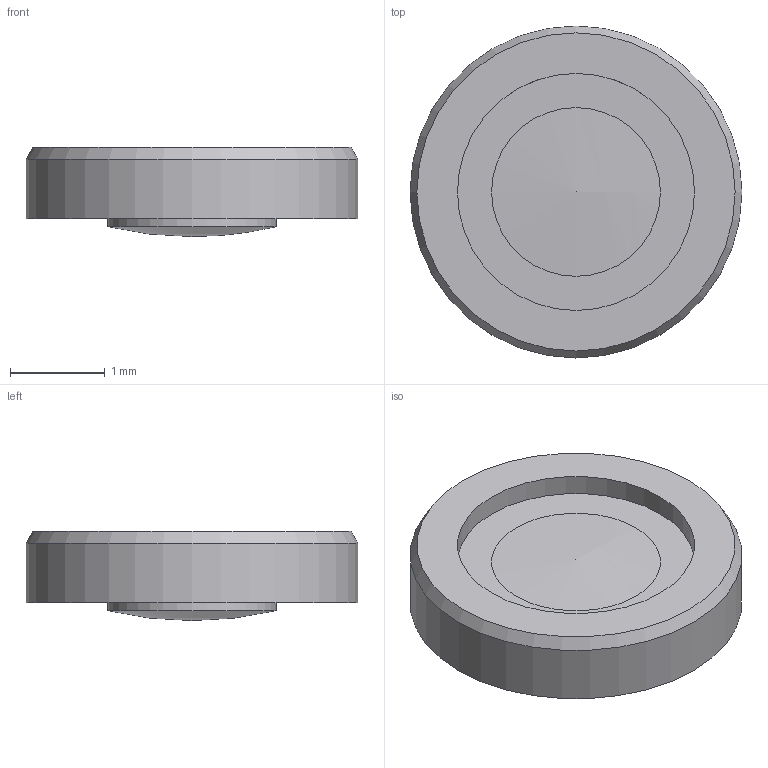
import cadquery as cq
import math

ring_diameter = 3.5
ring_height = 0.75
chamfer_height = 0.125
chamfer_angle = 30.0
chamfer_width = chamfer_height * math.tan(math.radians(chamfer_angle))

recess_diameter = 2.5
recess_depth = 0.22

lens_diameter = 1.78
overall_height = 0.94
lower_dome_height = 0.105
upper_dome_height = 0.03

ring_radius = ring_diameter / 2
recess_radius = recess_diameter / 2
lens_radius = lens_diameter / 2
recess_floor_z = ring_height - recess_depth
lens_bottom_z = ring_height - overall_height
lens_edge_z = lens_bottom_z + lower_dome_height


def revolve_about_z(profile):
    """Turn a half profile in the XZ plane a full revolution about the Z axis."""
    return profile.revolve(360, (0, 0, 0), (0, 1, 0))


def make_ring():
    """Revolve the mount: a disc with a chamfered rim and a round recess on top."""
    profile = (
        cq.Workplane("XZ")
        .moveTo(0, 0)
        .lineTo(ring_radius, 0)
        .lineTo(ring_radius, ring_height - chamfer_height)
        .lineTo(ring_radius - chamfer_width, ring_height)
        .lineTo(recess_radius, ring_height)
        .lineTo(recess_radius, recess_floor_z)
        .lineTo(0, recess_floor_z)
        .close()
    )
    return revolve_about_z(profile)


def dome_mid_point(dome_height, edge_z, direction):
    """Point halfway along a dome's arc from the lens edge to the axis; direction is +1 up, -1 down."""
    sphere_radius = (lens_radius**2 + dome_height**2) / (2 * dome_height)
    half_angle = math.asin(lens_radius / sphere_radius) / 2
    radial = sphere_radius * math.sin(half_angle)
    rise = dome_height - sphere_radius * (1 - math.cos(half_angle))
    return (radial, edge_z + direction * rise)


def make_lens():
    """Revolve the lens: domed down below the mount and slightly up from the recess floor."""
    profile = (
        cq.Workplane("XZ")
        .moveTo(0, lens_bottom_z)
        .threePointArc(dome_mid_point(lower_dome_height, lens_edge_z, -1), (lens_radius, lens_edge_z))
        .lineTo(lens_radius, recess_floor_z)
        .threePointArc(
            dome_mid_point(upper_dome_height, recess_floor_z, 1),
            (0, recess_floor_z + upper_dome_height),
        )
        .close()
    )
    return revolve_about_z(profile)


result = make_ring().union(make_lens())